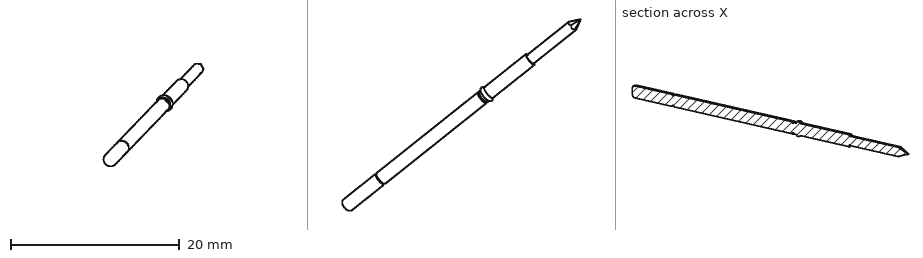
import cadquery as cq
import math

total_length = 37.0

plunger_radius = 0.65
tip_half_angle = 24.5
tip_facets = 6
shoulder_station = 7.95
plunger_insertion = 1.0

barrel_radius = 0.825
rear_round = 0.45

bead_station = 14.78
bead_width = 0.56
bead_radius = 1.0
bead_start_station = bead_station - bead_width / 2
bead_end_station = bead_station + bead_width / 2

shoulder_round = 0.15
floor_radius = barrel_radius - shoulder_round

ridge_station = 15.24
tube_edge_station = 15.52

crimp_station = 31.53
crimp_floor_width = 0.12


def at(station, radius):
    """Profile point at a station and a distance from the axis."""
    return (-station, radius)


def barrel_at(station):
    """Profile point on the barrel surface."""
    return at(station, barrel_radius)


def revolve(profile):
    """Close a profile that starts on the axis and spin it about Y."""
    return profile.close().revolve(360, (0, 0), (1, 0))


def add_bead(profile):
    profile = profile.lineTo(*barrel_at(bead_start_station))
    return profile.threePointArc(at(bead_station, bead_radius), barrel_at(bead_end_station))


def round_down(profile, crest_station):
    """Quarter arc from the barrel surface rearward down to a groove floor."""
    return profile.radiusArc(at(crest_station + shoulder_round, floor_radius), -shoulder_round)


def round_up(profile, crest_station):
    """Quarter arc from a groove floor rearward up to the barrel surface."""
    return profile.radiusArc(barrel_at(crest_station), -shoulder_round)


def add_ridge(profile):
    """Ridge rising from the foot of the bead, and the square-ended groove behind it."""
    profile = profile.lineTo(*at(ridge_station - shoulder_round, floor_radius))
    profile = round_up(profile, ridge_station)
    profile = round_down(profile, ridge_station)
    profile = profile.lineTo(*at(tube_edge_station, floor_radius))
    return profile.lineTo(*barrel_at(tube_edge_station))


def add_crimp(profile):
    floor_start = crimp_station - crimp_floor_width / 2
    floor_end = crimp_station + crimp_floor_width / 2
    profile = profile.lineTo(*barrel_at(floor_start - shoulder_round))
    profile = round_down(profile, floor_start - shoulder_round)
    profile = profile.lineTo(*at(floor_end, floor_radius))
    return round_up(profile, floor_end + shoulder_round)


def add_rounded_rear_end(profile):
    profile = profile.lineTo(*barrel_at(total_length - rear_round))
    profile = profile.radiusArc(at(total_length, barrel_radius - rear_round), -rear_round)
    return profile.lineTo(*at(total_length, 0))


def make_barrel():
    profile = cq.Workplane("YZ").moveTo(*at(shoulder_station, 0))
    profile = profile.lineTo(*barrel_at(shoulder_station))
    profile = add_bead(profile)
    profile = add_ridge(profile)
    profile = add_crimp(profile)
    profile = add_rounded_rear_end(profile)
    return revolve(profile)


def make_plunger():
    """Round rod cut by a pyramid that has one facet facing +Z."""
    length = shoulder_station + plunger_insertion
    rod = cq.Workplane("XZ").circle(plunger_radius).extrude(length)
    apothem = length * math.tan(math.radians(tip_half_angle))
    corner_diameter = 2 * apothem / math.cos(math.pi / tip_facets)
    base = cq.Workplane("XZ", origin=(0, -length, 0)).polygon(tip_facets, corner_diameter)
    pyramid = base.extrude(-length, taper=tip_half_angle)
    return rod.intersect(pyramid)


result = make_barrel().union(make_plunger())